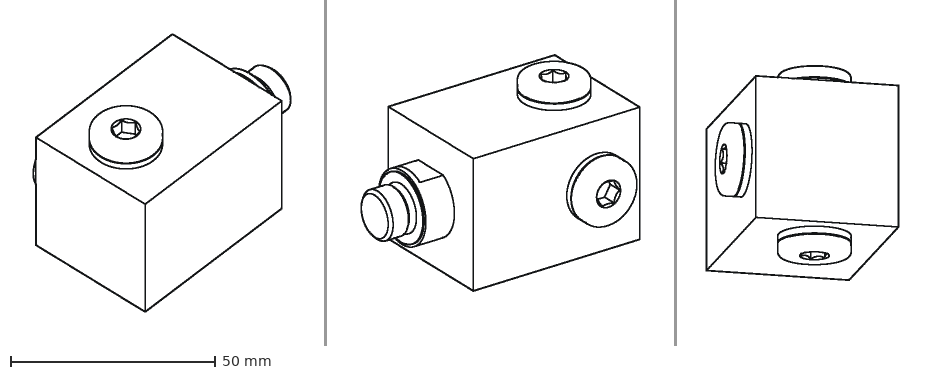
import cadquery as cq
import math

block_width = 36.0
block_length = 50.05
half_width = block_width / 2

plug_centre_y = 13.0
plug_diameter = 18.0
plug_height = 5.0
plug_edge_radius = 1.0
groove_diameter = 17.0
groove_height = 1.75
groove_width = 0.2

socket_across_flats = 6.0
socket_across_corners = socket_across_flats / math.cos(math.pi / 6)
socket_depth = 4.15
socket_mouth_diameter = 7.2
mouth_depth = 0.7

part_length = 66.9
stud_length = part_length - block_length
stud_radius = 13.2 / 2
tip_radius = 11.45 / 2
tip_chamfer = stud_radius - tip_radius
thread_end = 5.5
neck_radius = 11.45 / 2
neck_start = thread_end + stud_radius - neck_radius
neck_fillet = 0.7
shoulder_start = 7.9
seat_radius = 18.5 / 2
collar_start = 8.3
collar_radius = 20.0 / 2
flats_start = 9.9
across_flats = 17.0


def make_block():
    return cq.Workplane("XY").box(block_width, block_length, block_width, centered=(True, False, True))


def make_stud():
    """Turned stud on the +Y face, with two wrench flats on its collar."""
    flare_root = shoulder_start - (stud_radius - neck_radius)
    arc_start = flare_root - neck_fillet * math.tan(math.pi / 8)

    def at(radius, distance):
        return (radius, part_length - distance)

    def on_arc(angle):
        radius = neck_radius + neck_fillet * (1 - math.cos(angle))
        return at(radius, arc_start + neck_fillet * math.sin(angle))

    stud = (
        cq.Workplane("XY")
        .moveTo(*at(0, 0))
        .lineTo(*at(tip_radius, 0))
        .lineTo(*at(stud_radius, tip_chamfer))
        .lineTo(*at(stud_radius, thread_end))
        .lineTo(*at(neck_radius, neck_start))
        .lineTo(*at(neck_radius, arc_start))
        .threePointArc(on_arc(math.pi / 8), on_arc(math.pi / 4))
        .lineTo(*at(stud_radius, shoulder_start))
        .lineTo(*at(seat_radius, shoulder_start))
        .lineTo(*at(seat_radius, collar_start))
        .lineTo(*at(collar_radius, collar_start))
        .lineTo(*at(collar_radius, stud_length))
        .lineTo(*at(0, stud_length))
        .close()
        .revolve(360, (0, 0), (0, 1))
    )
    flats_length = stud_length - flats_start
    waste_height = collar_radius
    for side in (-1, 1):
        waste = cq.Workplane("XY").box(
            2 * collar_radius, flats_length, waste_height, centered=(True, False, True)
        )
        stud = stud.cut(waste.translate((0, block_length, side * (across_flats + waste_height) / 2)))
    return stud


def make_plug():
    """Plug standing on the XY plane, with its socket opening towards +Z."""
    plug = cq.Workplane("XY").circle(plug_diameter / 2).extrude(plug_height)
    plug = plug.faces(">Z").edges().fillet(plug_edge_radius)
    groove = (
        cq.Workplane("XY")
        .workplane(offset=groove_height)
        .circle(plug_diameter / 2)
        .circle(groove_diameter / 2)
        .extrude(groove_width)
    )
    top = cq.Workplane("XY").workplane(offset=plug_height)
    socket = top.polygon(6, socket_across_corners).extrude(-socket_depth)
    mouth = (
        top.circle(socket_mouth_diameter / 2)
        .workplane(offset=-mouth_depth)
        .circle(socket_across_flats / 2)
        .loft()
    )
    return plug.cut(groove).cut(socket).cut(mouth)


result = make_block().union(make_stud())

plug = make_plug().rotate((0, 0, 0), (0, 0, 1), 90).translate((0, plug_centre_y, half_width))
for angle in (0, 180, -90):
    result = result.union(plug.rotate((0, 0, 0), (0, 1, 0), angle))